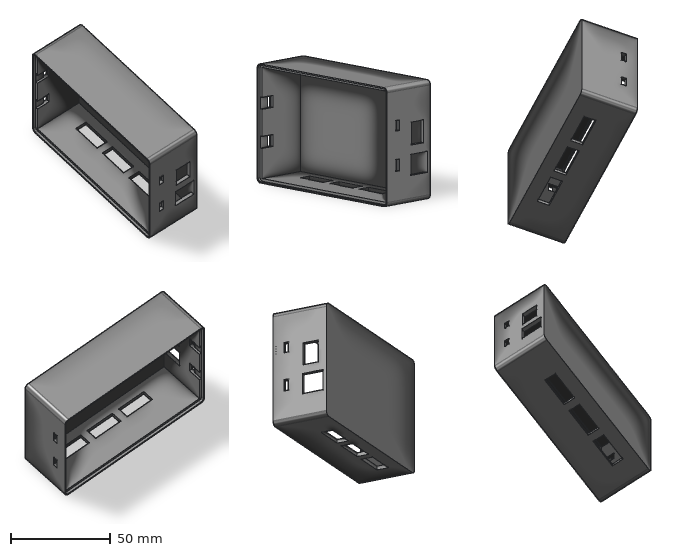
import cadquery as cq

length = 93.0
depth = 30.6
height = 61.0
wall = 2.0
corner_radius = 2.4

rim_wall = 0.7
rim_depth = 1.5

catch_height = 6.0
short_catch_height = 5.4
catch_top = 13.0
catch_skin = 0.8
notch_back = 9.1
slot_width = 2.5
slot_slant = 0.4

port_length = 16.7
port_width = 6.5
port_pitch = 21.0
port_row_center = -3.1
port_back_gap = 5.3

lower_window_front = 1.5
lower_window_z = (-16.5, -5.7)
upper_window_y = (1.9, 10.6)
upper_window_z = (-0.9, 10.8)

front = -depth / 2
inner_back = depth / 2 - wall
inner_side = length / 2 - wall


def block(x_range, y_range, z_range):
    """Axis-aligned block between the given (low, high) limits."""
    low, high = zip(x_range, y_range, z_range)
    size = [b - a for a, b in zip(low, high)]
    return cq.Workplane("XY").box(*size, centered=False).translate(low)


def centered_block(x_size, z_size, y_range):
    """Block centred in X and Z that spans a range in Y."""
    return block((-x_size / 2, x_size / 2), y_range, (-z_size / 2, z_size / 2))


def make_shell():
    """Rounded box with a square-cornered cavity and a stepped rim."""
    body = centered_block(length, height, (front, -front)).edges("|Y").fillet(corner_radius)
    cavity = centered_block(length - 2 * wall, height - 2 * wall, (front, inner_back))
    recess = centered_block(
        length - 2 * rim_wall, height - 2 * rim_wall, (front, front + rim_depth)
    )
    recess = recess.edges("|Y").fillet(corner_radius - rim_wall)
    return body.cut(cavity).cut(recess)


def make_catch(side, bottom, top):
    """Notch and slanted slot in one end wall; side is -1 or +1 along X."""
    skin_x = side * (length / 2 - catch_skin)
    outer_x = side * length / 2
    notch_end = front + notch_back
    notch = block(sorted((side * inner_side, skin_x)), (front, notch_end), (bottom, top))
    slot = (
        cq.Workplane("XY", origin=(0, 0, bottom))
        .moveTo(skin_x, notch_end)
        .lineTo(outer_x, notch_end - slot_slant)
        .lineTo(outer_x, notch_end - slot_slant - slot_width)
        .lineTo(skin_x, notch_end - slot_width)
        .close()
        .extrude(top - bottom)
    )
    return notch.union(slot)


def make_floor_port(index):
    """Opening through the floor; index counts from the middle port."""
    center = port_row_center + index * port_pitch
    back = inner_back - port_back_gap
    return block(
        (center - port_length / 2, center + port_length / 2),
        (back - port_width, back),
        (-height / 2, -height / 2 + wall),
    )


result = make_shell()

for side in (-1, 1):
    upper_height = catch_height if side < 0 else short_catch_height
    result = result.cut(make_catch(side, catch_top - upper_height, catch_top))
    result = result.cut(make_catch(side, -catch_top, catch_height - catch_top))

for index in (-1, 0, 1):
    result = result.cut(make_floor_port(index))

end_wall = (inner_side, length / 2)
lower_window = block(end_wall, (lower_window_front, inner_back), lower_window_z)
upper_window = block(end_wall, upper_window_y, upper_window_z)
result = result.cut(lower_window).cut(upper_window)